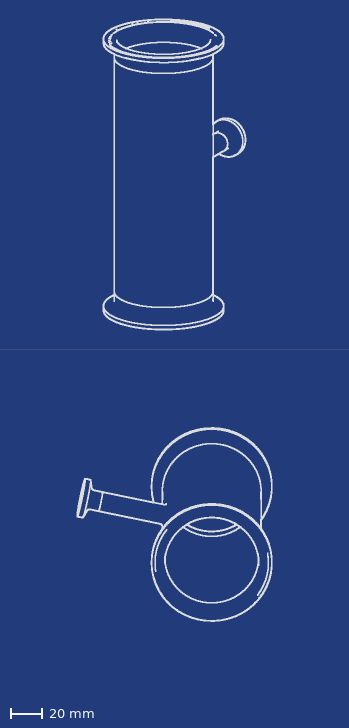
import cadquery as cq
import math

overall_length = 184.2
branch_reach = 85.695

wall = 1.65
main_od = 63.5
main_id = main_od - 2 * wall
branch_od = 12.7
branch_id = branch_od - 2 * wall
junction_fillet = 1.6

ferrule_length = 12.7
back_angle = math.radians(20)
main_flange_od = 77.39
main_rim = 2.9
main_neck_fillet = 1.65
branch_flange_od = 25.0
branch_rim = 3.6
branch_neck_fillet = 1.5

groove_mean_radius = 35.3
groove_width = 2.7
groove_depth = 0.8
groove_lip_fillet = 0.9
bore_edge_fillet = 0.8

main_tube_length = overall_length - 2 * ferrule_length
branch_tube_end = branch_reach - ferrule_length


def make_ferrule(flange_od, neck_od, bore, rim, neck_fillet):
    """Flanged ring on the Z axis, sealing face at Z = 0, neck end at Z = ferrule_length."""
    flange_r = flange_od / 2
    neck_r = neck_od / 2
    bore_r = bore / 2
    corner_z = rim + (flange_r - neck_r) * math.tan(back_angle)
    fillet_sweep = math.pi / 2 - back_angle
    tangent = neck_fillet * math.tan(fillet_sweep / 2)
    fillet_center_r = neck_r + neck_fillet
    fillet_end_z = corner_z + tangent
    fillet_start = (
        neck_r + tangent * math.cos(back_angle),
        corner_z - tangent * math.sin(back_angle),
    )
    fillet_middle = (
        fillet_center_r - neck_fillet * math.cos(fillet_sweep / 2),
        fillet_end_z - neck_fillet * math.sin(fillet_sweep / 2),
    )
    return (
        cq.Workplane("XZ")
        .moveTo(bore_r, 0)
        .lineTo(flange_r, 0)
        .lineTo(flange_r, rim)
        .lineTo(*fillet_start)
        .threePointArc(fillet_middle, (neck_r, fillet_end_z))
        .lineTo(neck_r, ferrule_length)
        .lineTo(bore_r, ferrule_length)
        .close()
        .revolve(360, (0, 0, 0), (0, 1, 0))
    )


def make_groove():
    """Round-bottomed ring groove to cut into a sealing face at Z = 0."""
    half_width = groove_width / 2
    return (
        cq.Workplane("XZ")
        .moveTo(groove_mean_radius - half_width, 0)
        .threePointArc((groove_mean_radius, groove_depth), (groove_mean_radius + half_width, 0))
        .close()
        .revolve(360, (0, 0, 0), (0, 1, 0))
    )


def make_main_ferrule():
    """Ferrule with a rounded bore mouth and a gasket groove with rounded lips."""
    ring = make_ferrule(main_flange_od, main_od, main_id, main_rim, main_neck_fillet)
    ring = ring.faces("<Z").edges(cq.selectors.RadiusNthSelector(0)).fillet(bore_edge_fillet)
    ring = ring.cut(make_groove())
    groove_lips = cq.selectors.RadiusNthSelector(1) + cq.selectors.RadiusNthSelector(2)
    return ring.edges("<Z").edges(groove_lips).fillet(groove_lip_fillet)


def make_branch_ferrule():
    """Small plain ferrule on the end of the branch, sealing face toward +Y."""
    ring = make_ferrule(branch_flange_od, branch_od, branch_id, branch_rim, branch_neck_fillet)
    return ring.rotate((0, 0, 0), (1, 0, 0), 90).translate((0, branch_reach, 0))


def main_rod(diameter):
    """Solid cylinder as long as the main tube, centred on the origin."""
    return cq.Workplane("XY").circle(diameter / 2).extrude(main_tube_length / 2, both=True)


def branch_rod(diameter):
    """Solid cylinder from the main axis out to the end of the branch tube."""
    return cq.Workplane("XZ").circle(diameter / 2).extrude(-branch_tube_end)


def make_tube_body():
    """Main tube with its branch, filleted where they join and bored through."""
    near_junction = cq.selectors.BoxSelector(
        (-branch_od, 0, -branch_od),
        (branch_od, main_od / 2 + junction_fillet, branch_od),
        boundingbox=True,
    )
    outside = main_rod(main_od).union(branch_rod(branch_od))
    outside = outside.edges(near_junction).fillet(junction_fillet)
    return outside.cut(main_rod(main_id)).cut(branch_rod(branch_id))


tube_body = make_tube_body()

bottom_ferrule = make_main_ferrule().translate((0, 0, -overall_length / 2))
main_ferrules = []
for turn in (0, 180):
    ferrule = bottom_ferrule.rotate((0, 0, 0), (1, 0, 0), turn)
    main_ferrules.append(ferrule.val())

branch_ferrule = make_branch_ferrule()

result = cq.Compound.makeCompound([tube_body.val(), *main_ferrules, branch_ferrule.val()])